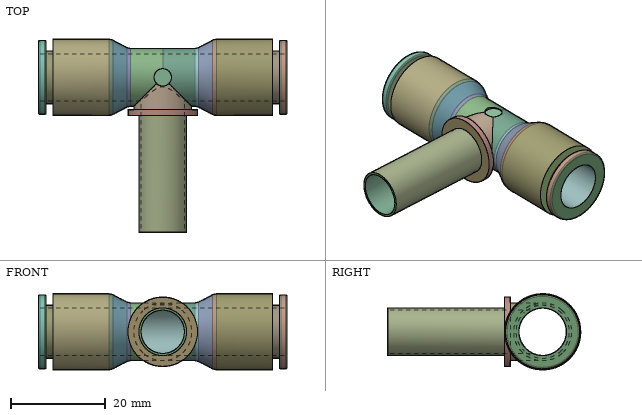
import cadquery as cq

run_length = 52.4
bore_radius = 5.0
collar_radius = 7.8
collar_width = 1.6
collar_rounding = 0.3
neck_radius = 5.6
neck_width = 1.4
socket_radius = 8.045
socket_length = 12.25
cone_length = 3.7
cone_blend = 1.7
waist_radius = 6.105

flange_radius = 7.35
flange_width = 1.25
flange_end = 8.05
stem_radius = 5.05
stem_bore_radius = 4.55
stem_end = 40.7 - socket_radius

recess_radius = 1.85
recess_depth = 0.4

half_run = run_length / 2
collar_inner = half_run - collar_width
socket_outer = collar_inner - neck_width
cone_outer = socket_outer - socket_length
cone_inner = cone_outer - cone_length


def x_cylinder(radius, start, end):
    return cq.Workplane("YZ").workplane(offset=start).circle(radius).extrude(end - start)


def branch_cylinder(radius, start, end):
    """Cylinder on the branch axis between two distances from the run axis."""
    return cq.Workplane("XZ").workplane(offset=start).circle(radius).extrude(end - start)


def half_run_body():
    """Right half of the run: waist, cone, socket, neck and rounded release collar."""
    shell = (
        cq.Workplane("XY")
        .moveTo(0, 0)
        .lineTo(0, waist_radius)
        .lineTo(cone_inner, waist_radius)
        .lineTo(cone_outer, socket_radius)
        .lineTo(socket_outer, socket_radius)
        .lineTo(socket_outer, 0)
        .close()
        .revolve(360, (0, 0, 0), (1, 0, 0))
    )
    for x in (cone_inner, cone_outer):
        edge = cq.selectors.BoxSelector(
            (x - 0.05, -run_length, -run_length), (x + 0.05, run_length, run_length)
        )
        shell = shell.edges(edge).edges("%CIRCLE").fillet(cone_blend)
    neck = x_cylinder(neck_radius, socket_outer, collar_inner)
    collar = x_cylinder(collar_radius, collar_inner, half_run).edges().fillet(collar_rounding)
    return shell.union(neck).union(collar)


right_half = half_run_body()
run = right_half.union(right_half.mirror("YZ"))

hub = branch_cylinder(waist_radius, 0, flange_end)
flange = branch_cylinder(flange_radius, flange_end - flange_width, flange_end)
stem = branch_cylinder(stem_radius, 0, stem_end)
body = run.union(hub).union(flange).union(stem)

through_bore = x_cylinder(bore_radius, -half_run, half_run)
stem_bore = branch_cylinder(stem_bore_radius, 0, stem_end)
recess = (
    cq.Workplane("XY")
    .workplane(offset=waist_radius - recess_depth)
    .circle(recess_radius)
    .extrude(socket_radius)
)

result = body.cut(through_bore).cut(stem_bore).cut(recess)